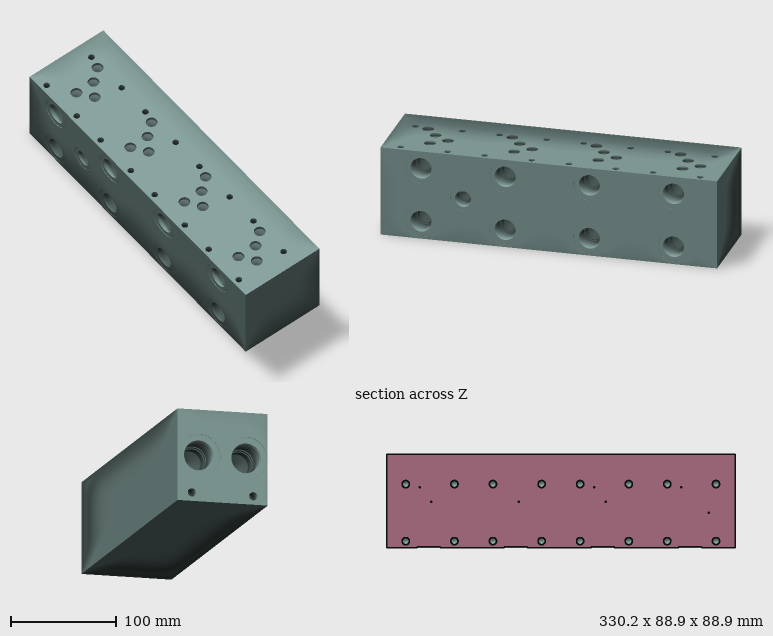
import cadquery as cq
import math

LENGTH = 330.2
WIDTH = 88.9
HEIGHT = 88.9
MID_HEIGHT = HEIGHT / 2

INTO_FRONT = (0, 1, 0)
INTO_TOP = (0, 0, -1)
INTO_END = (1, 0, 0)

DRILL_POINT_ANGLE = 118.0
SPOTFACE_DEPTH = 0.5

STATION_COUNT = 4
STATION_PITCH = 82.55
FIRST_STATION_X = 39.7

WORK_PORT = {
    "spotface_diameter": 30.63,
    "mouth_diameter": 20.8,
    "thread_diameter": 19.25,
    "tap_drill_diameter": 17.5,
    "bore_diameter": 15.88,
    "seat_depth": 2.5,
    "thread_depth": 16.0,
    "tap_drill_depth": 18.0,
    "bore_depth": 25.0,
}
WORK_PORT_SPACING = 54.0

GAUGE_PORT = {
    "spotface_diameter": 24.92,
    "mouth_diameter": 15.88,
    "thread_diameter": 14.29,
    "tap_drill_diameter": 12.9,
    "bore_diameter": 11.12,
    "seat_depth": 2.5,
    "thread_depth": 12.0,
    "tap_drill_depth": 13.0,
    "bore_depth": 15.0,
}
GAUGE_PORT_X = 80.9

MAIN_PORT = {
    "spotface_diameter": 42.04,
    "mouth_diameter": 29.2,
    "thread_diameter": 27.0,
    "tap_drill_diameter": 24.92,
    "bore_diameter": 23.01,
    "seat_depth": 3.3,
    "thread_depth": 22.0,
    "tap_drill_depth": 25.0,
    "bore_depth": 35.0,
}
MAIN_PORT_Y = (21.05, 67.7)

FLOW_HOLE_DIAMETER = 11.12
FLOW_HOLE_DEPTH = 3.2
FLOW_HOLES = ((-8.3, 57.2), (2.7, 43.6), (17.6, 33.3), (2.7, 23.0))

BOLT_HOLE = {"thread_diameter": 6.35, "drill_diameter": 5.11, "thread_depth": 12.7, "drill_depth": 15.0}
BOLT_X_OFFSETS = (-21.6, 24.5)
BOLT_Y = (6.3, 60.3)

MOUNT_HOLE = {"thread_diameter": 7.92, "drill_diameter": 6.53, "thread_depth": 15.9, "drill_depth": 19.0}
MOUNT_Y = (14.2, 74.7)
MOUNT_Z = 8.2


def cutter(steps, position, direction):
    """Turned hole shape ending in a drill point; steps are (diameter, depth) from the face inward."""
    last_diameter, last_depth = steps[-1]
    point_length = last_diameter / 2 / math.tan(math.radians(DRILL_POINT_ANGLE / 2))
    outline = [(0, 0)]
    outline += [(diameter / 2, depth) for diameter, depth in steps]
    outline.append((0, last_depth + point_length))
    turned = cq.Workplane("XY").polyline(outline).close().revolve(360, (0, 0, 0), (0, 1, 0))
    along_z = turned.rotate((0, 0, 0), (1, 0, 0), 90).val()
    cross_direction = (0, 1, 0) if direction == INTO_END else (1, 0, 0)
    placement = cq.Plane(origin=position, xDir=cross_direction, normal=direction)
    return along_z.moved(placement.location)


def port_cutter(port, position, direction):
    """Spotface, conical seal seat, thread, tap drill and bore."""
    return cutter(
        [
            (port["spotface_diameter"], 0),
            (port["spotface_diameter"], SPOTFACE_DEPTH),
            (port["mouth_diameter"], SPOTFACE_DEPTH),
            (port["thread_diameter"], port["seat_depth"]),
            (port["thread_diameter"], port["thread_depth"]),
            (port["tap_drill_diameter"], port["thread_depth"]),
            (port["tap_drill_diameter"], port["tap_drill_depth"]),
            (port["bore_diameter"], port["tap_drill_depth"]),
            (port["bore_diameter"], port["bore_depth"]),
        ],
        position,
        direction,
    )


def tapped_hole_cutter(hole, position, direction):
    """Thread at its major diameter, with the tap drill going deeper."""
    return cutter(
        [
            (hole["thread_diameter"], 0),
            (hole["thread_diameter"], hole["thread_depth"]),
            (hole["drill_diameter"], hole["thread_depth"]),
            (hole["drill_diameter"], hole["drill_depth"]),
        ],
        position,
        direction,
    )


def flow_hole_cutter(position):
    steps = [(FLOW_HOLE_DIAMETER, 0), (FLOW_HOLE_DIAMETER, FLOW_HOLE_DEPTH)]
    return cutter(steps, position, INTO_TOP)


def station_cutters(station_x):
    """All holes of one valve station: two work ports, four flow holes, four bolt holes."""
    cutters = []
    for side in (-1, 1):
        port_z = MID_HEIGHT + side * WORK_PORT_SPACING / 2
        cutters.append(port_cutter(WORK_PORT, (station_x, 0, port_z), INTO_FRONT))
    for offset, y in FLOW_HOLES:
        cutters.append(flow_hole_cutter((station_x + offset, y, HEIGHT)))
    for offset in BOLT_X_OFFSETS:
        for y in BOLT_Y:
            cutters.append(tapped_hole_cutter(BOLT_HOLE, (station_x + offset, y, HEIGHT), INTO_TOP))
    return cutters


def end_face_cutters():
    """Main ports and mounting holes of the -X face."""
    cutters = []
    for y in MAIN_PORT_Y:
        cutters.append(port_cutter(MAIN_PORT, (0, y, MID_HEIGHT), INTO_END))
    for y in MOUNT_Y:
        cutters.append(tapped_hole_cutter(MOUNT_HOLE, (0, y, MOUNT_Z), INTO_END))
    return cutters


hole_cutters = end_face_cutters()
hole_cutters.append(port_cutter(GAUGE_PORT, (GAUGE_PORT_X, 0, MID_HEIGHT), INTO_FRONT))
for station in range(STATION_COUNT):
    hole_cutters += station_cutters(FIRST_STATION_X + station * STATION_PITCH)

result = cq.Workplane("XY").box(LENGTH, WIDTH, HEIGHT, centered=False)
for hole in hole_cutters:
    result = result.cut(cq.Workplane(hole))